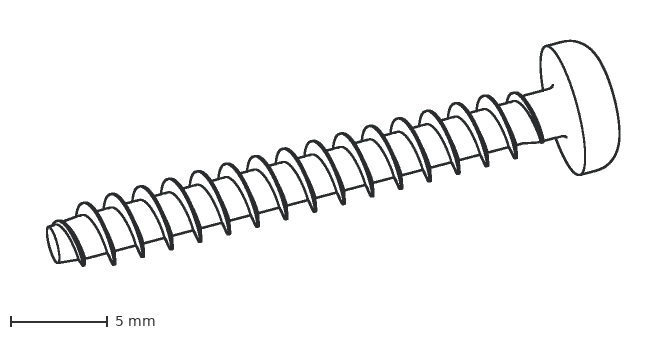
import cadquery as cq
import math

total_length = 30.3

head_radius = 3.45
head_height = 2.3
head_edge_radius = 1.4

neck_radius = 1.27
neck_length = 1.73
neck_fillet = 0.42
neck_taper_length = 0.75

core_radius = 1.12
tip_radius = 0.97
tip_taper_length = 1.6
tip_y = head_height - total_length

thread_radius = 1.8
thread_pitch = 1.58
thread_root_radius = 0.85
thread_root_width = 0.55
thread_crest_width = 0.1
thread_phase_y = -1.67
thread_top_y = -1.33
thread_bottom_y = tip_y + 0.42
neck_runout_length = 2.42
neck_start_fade = 0.25
tip_runout_length = 1.88

steps_per_piece = 24


def revolve_about_y(profile):
    return profile.close().revolve(360, (0, 0, 0), (0, 1, 0))


def make_blank():
    """Head, neck and core as one turned body."""
    neck_end_y = -neck_length
    profile = (
        cq.Workplane("XY")
        .moveTo(0, tip_y)
        .lineTo(tip_radius, tip_y)
        .lineTo(core_radius, tip_y + tip_taper_length)
        .lineTo(core_radius, neck_end_y - neck_taper_length)
        .lineTo(neck_radius, neck_end_y)
        .lineTo(neck_radius, -neck_fillet)
        .radiusArc((neck_radius + neck_fillet, 0), neck_fillet)
        .lineTo(head_radius, 0)
        .lineTo(head_radius, head_height - head_edge_radius)
        .radiusArc((head_radius - head_edge_radius, head_height), -head_edge_radius)
        .lineTo(0, head_height)
    )
    return revolve_about_y(profile)


def crest_radius_at(y):
    """Outer thread radius, fading out towards the neck and the tip."""
    thread_height = thread_radius - core_radius
    neck_fade = (thread_top_y - y) / neck_runout_length
    tip_fade = (y - thread_bottom_y) / tip_runout_length
    return core_radius + thread_height * min(1, neck_start_fade + neck_fade, tip_fade)


def helix_point(y, radius, axial_offset):
    """Point on the right-handed thread, which meets the +X side at thread_phase_y."""
    angle = 2 * math.pi * (y - thread_phase_y) / thread_pitch
    return cq.Vector(radius * math.cos(angle), y + axial_offset, -radius * math.sin(angle))


def thread_corners(y):
    """Corners of the ridge profile at one place along the thread."""
    crest_radius = crest_radius_at(y)
    return [
        helix_point(y, thread_root_radius, -thread_root_width / 2),
        helix_point(y, crest_radius, -thread_crest_width / 2),
        helix_point(y, crest_radius, thread_crest_width / 2),
        helix_point(y, thread_root_radius, thread_root_width / 2),
    ]


def make_end_cap(y):
    return cq.Face.makeFromWires(cq.Wire.makePolygon(thread_corners(y), close=True))


def make_flanks(start_y, end_y):
    """The four ruled faces of one piece of the ridge."""
    step = (end_y - start_y) / steps_per_piece
    stations = [thread_corners(start_y + step * i) for i in range(steps_per_piece + 1)]
    curves = [cq.Edge.makeSpline(list(points)) for points in zip(*stations)]
    return [cq.Face.makeRuledSurface(curves[i - 1], curves[i]) for i in range(len(curves))]


def make_thread():
    """Ridge wound around the core, with its root buried in the core."""
    piece_count = math.ceil((thread_top_y - thread_bottom_y) / thread_pitch)
    piece_length = (thread_top_y - thread_bottom_y) / piece_count
    faces = [make_end_cap(thread_bottom_y), make_end_cap(thread_top_y)]
    for i in range(piece_count):
        start_y = thread_bottom_y + piece_length * i
        faces += make_flanks(start_y, start_y + piece_length)
    return cq.Solid.makeSolid(cq.Shell.makeShell(faces))


result = make_blank().union(make_thread())